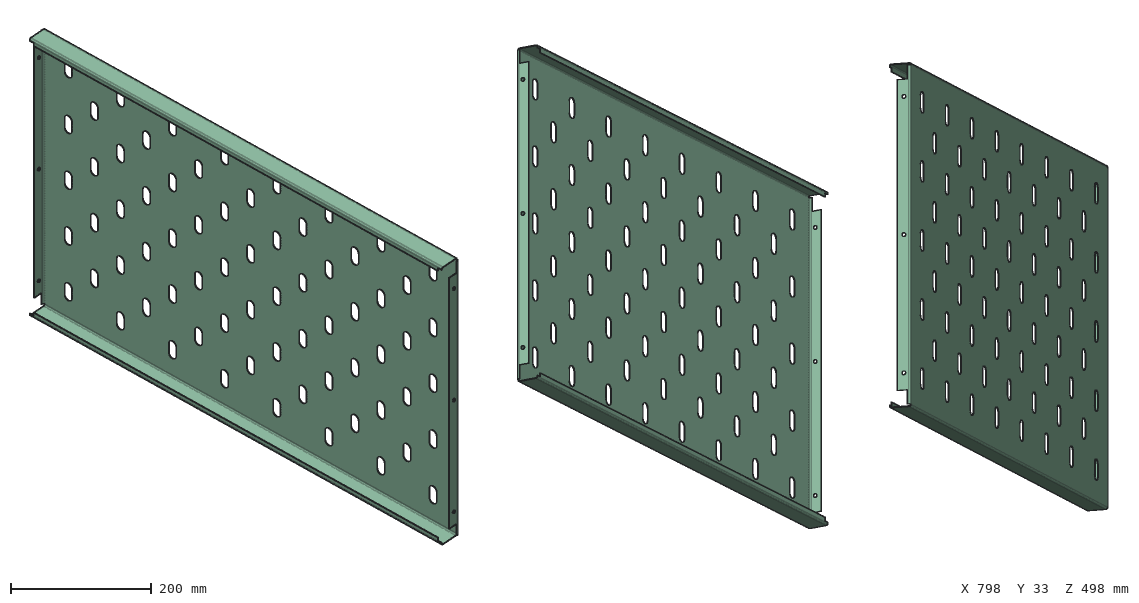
import cadquery as cq

width = 798.0
depth = 33.0
height = 498.0

thickness = 1.5
bend_inner_radius = 1.5
bend_outer_radius = bend_inner_radius + thickness

end_gap = 3.5
lip_height = 10.0
lip_end_height = 4.5
lip_end_inset = 11.0

side_depth = 20.0
side_length = 450.0
corner_return_depth = 5.0
corner_return_gap = 3.5

slot_pitch = 100.0
slot_width = 14.0
slot_length = 31.0
main_columns = 8
main_rows = 5

fixing_diameter = 5.5
fixing_count = 3
fixing_pitch = 200.0
fixing_setback = 10.0

half_width = width / 2


def centred_box(x_size, y_front, y_back, z_size):
    """Box centred on X and Z, between two Y positions."""
    box = cq.Workplane("XY").box(x_size, y_back - y_front, z_size)
    return box.translate((0, (y_front + y_back) / 2, 0))


def make_end_channel():
    """Panel with top and bottom flanges and lips, as one rounded C section extruded along X."""
    length = width - 2 * end_gap
    outer = centred_box(length, -depth, 0, height).edges("|X").fillet(bend_outer_radius)
    inner = centred_box(length, -depth + thickness, -thickness, height - 2 * thickness)
    inner = inner.edges("|X").fillet(bend_inner_radius)
    mouth = centred_box(length, -depth, -depth / 2, height - 2 * lip_height)
    channel = outer.cut(inner).cut(mouth)
    trimmed_height = height - 2 * lip_end_height
    for side in (-1, 1):
        lip_trim = centred_box(2 * lip_end_inset, -depth, -depth + bend_outer_radius, trimmed_height)
        channel = channel.cut(lip_trim.translate((side * half_width, 0, 0)))
    return channel


def make_side_channel():
    """Panel with left and right flanges, as one rounded U section along Z."""
    length = height - 2 * corner_return_gap
    outer = centred_box(width, -side_depth, 0, length).edges("|Z and >Y").fillet(bend_outer_radius)
    inner = centred_box(width - 2 * thickness, -side_depth, -thickness, length)
    inner = inner.edges("|Z and >Y").fillet(bend_inner_radius)
    full_depth = centred_box(width, -side_depth, 0, side_length)
    corner_depth = centred_box(width, -corner_return_depth, 0, length)
    return outer.cut(inner).intersect(full_depth.union(corner_depth))


def slot_grid(columns, rows):
    """Upright slots on a centred grid, long enough in Y to pierce the panel."""
    return (
        cq.Workplane("XZ", origin=(0, thickness, 0))
        .rarray(slot_pitch, slot_pitch, columns, rows)
        .slot2D(slot_length, slot_width, 90)
        .extrude(3 * thickness)
    )


def fixing_holes():
    """Holes in line through both side flanges."""
    return (
        cq.Workplane("YZ", origin=(-half_width, -fixing_setback, 0))
        .rarray(1, fixing_pitch, 1, fixing_count)
        .circle(fixing_diameter / 2)
        .extrude(width)
    )


tray = make_end_channel().union(make_side_channel())
tray = tray.cut(slot_grid(main_columns, main_rows))
tray = tray.cut(slot_grid(main_columns - 1, main_rows - 1))
result = tray.cut(fixing_holes())